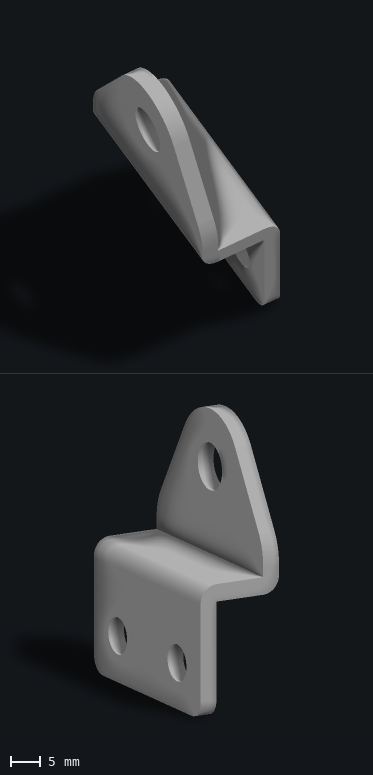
import cadquery as cq
import math

width = 36.0
depth = 15.0
height = 48.0

thickness = 3.0
bend_radius = thickness
shelf_bottom = 20.0
shelf_top = shelf_bottom + thickness

tab_radius = 10.0
tab_center_z = height - tab_radius
shoulder_x = width / 2 - tab_radius
shoulder_z = 25.0
tab_hole_diameter = 8.2

corner_radius = 3.0
mount_hole_diameter = 6.4
mount_hole_spacing = 20.0
mount_hole_z = 8.0

front = -depth / 2
back = depth / 2


def bent_sheet():
    """Z-shaped side profile in YZ, extruded across the width."""
    return (
        cq.Workplane("YZ")
        .moveTo(back, 0)
        .lineTo(back, shelf_top - bend_radius)
        .radiusArc((back - bend_radius, shelf_top), -bend_radius)
        .lineTo(front + thickness, shelf_top)
        .lineTo(front + thickness, height)
        .lineTo(front, height)
        .lineTo(front, shelf_bottom + bend_radius)
        .radiusArc((front + bend_radius, shelf_bottom), -bend_radius)
        .lineTo(back - thickness, shelf_bottom)
        .lineTo(back - thickness, 0)
        .close()
        .extrude(width / 2, both=True)
    )


def face_outline():
    """Outline in XZ, with lines tangent to the equal top and shoulder arcs."""
    slope = math.atan2(shoulder_x, tab_center_z - shoulder_z)
    reach_x = tab_radius * math.cos(slope)
    reach_z = tab_radius * math.sin(slope)
    shoulder_mid_x = shoulder_x + tab_radius * math.cos(slope / 2)
    shoulder_mid_z = shoulder_z + tab_radius * math.sin(slope / 2)
    return (
        cq.Workplane("XZ")
        .moveTo(-width / 2, 0)
        .lineTo(width / 2, 0)
        .lineTo(width / 2, shoulder_z)
        .threePointArc(
            (shoulder_mid_x, shoulder_mid_z),
            (shoulder_x + reach_x, shoulder_z + reach_z),
        )
        .lineTo(reach_x, tab_center_z + reach_z)
        .threePointArc((0, height), (-reach_x, tab_center_z + reach_z))
        .lineTo(-shoulder_x - reach_x, shoulder_z + reach_z)
        .threePointArc((-shoulder_mid_x, shoulder_mid_z), (-width / 2, shoulder_z))
        .close()
        .extrude(depth, both=True)
        .edges("|Y and <Z")
        .fillet(corner_radius)
    )


def holes():
    """Cutters along Y for the tab hole and the two mounting holes."""
    tab_hole = (
        cq.Workplane("XZ")
        .center(0, tab_center_z)
        .circle(tab_hole_diameter / 2)
        .extrude(depth, both=True)
    )
    mount_holes = (
        cq.Workplane("XZ")
        .pushPoints([(side * mount_hole_spacing / 2, mount_hole_z) for side in (-1, 1)])
        .circle(mount_hole_diameter / 2)
        .extrude(depth, both=True)
    )
    return tab_hole.union(mount_holes)


result = bent_sheet().intersect(face_outline()).cut(holes())